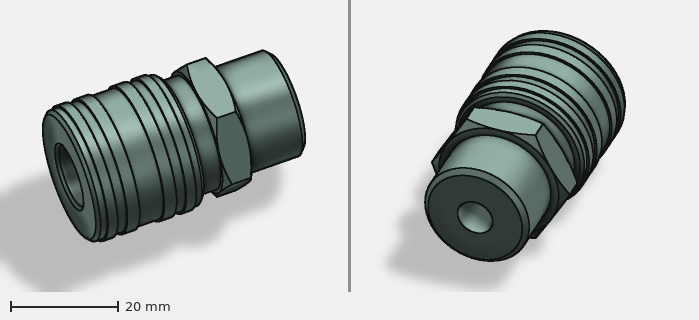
import cadquery as cq
import math

total_length = 44.0

sleeve_radius = 13.0
sleeve_end = 22.0
sleeve_front_chamfer = 0.7
sleeve_rear_chamfer = 0.6
ring_diameter = 26.8
ring_spans = [(2.02, 4.0), (6.0, 8.5), (13.5, 16.0), (18.0, 20.0)]

neck_radius = 11.25
hex_start = 26.0
hex_end = 32.0
hex_across_flats = 24.02
hex_chamfer_angle = 30.0
blank_allowance = 0.45
plug_radius = 10.45
plug_chamfer = 1.0

bore_radius = 3.5
socket_radius = 6.05
socket_depth = 22.0
socket_chamfer = 0.6

hex_corner_radius = hex_across_flats / 2 / math.cos(math.pi / 6)


def cylinder(radius, start, end):
    """Solid cylinder on the Y axis between two Y positions."""
    plane = cq.Plane(origin=(0, start, 0), xDir=(1, 0, 0), normal=(0, 1, 0))
    return cq.Workplane(plane).circle(radius).extrude(end - start)


def make_sleeve():
    sleeve = cylinder(sleeve_radius, 0, sleeve_end)
    sleeve = sleeve.faces("<Y").chamfer(sleeve_front_chamfer)
    sleeve = sleeve.faces(">Y").chamfer(sleeve_rear_chamfer)
    for start, end in ring_spans:
        sleeve = sleeve.union(cylinder(ring_diameter / 2, start, end))
    return sleeve


def make_hexagon():
    """Hexagon with corners on the X axis, both ends turned to a cone."""
    plane = cq.Plane(origin=(0, hex_start, 0), xDir=(1, 0, 0), normal=(0, 1, 0))
    prism = cq.Workplane(plane).polygon(6, 2 * hex_corner_radius).extrude(hex_end - hex_start)
    face_radius = hex_across_flats / 2
    outer_radius = hex_corner_radius + blank_allowance
    drop = (outer_radius - face_radius) * math.tan(math.radians(hex_chamfer_angle))
    turned_blank = (
        cq.Workplane("XY")
        .moveTo(0, hex_start)
        .lineTo(face_radius, hex_start)
        .lineTo(outer_radius, hex_start + drop)
        .lineTo(outer_radius, hex_end - drop)
        .lineTo(face_radius, hex_end)
        .lineTo(0, hex_end)
        .close()
        .revolve(360, (0, 0, 0), (0, 1, 0))
    )
    return prism.intersect(turned_blank)


def make_bore():
    """Through bore, with a wider chamfered socket at the front."""
    mouth_radius = socket_radius + socket_chamfer
    return (
        cq.Workplane("XY")
        .lineTo(mouth_radius, 0)
        .lineTo(socket_radius, socket_chamfer)
        .lineTo(socket_radius, socket_depth)
        .lineTo(bore_radius, socket_depth)
        .lineTo(bore_radius, total_length)
        .lineTo(0, total_length)
        .close()
        .revolve(360, (0, 0, 0), (0, 1, 0))
    )


neck = cylinder(neck_radius, sleeve_end, hex_start)
plug = cylinder(plug_radius, hex_end, total_length).faces(">Y").chamfer(plug_chamfer)

result = make_sleeve().union(neck).union(make_hexagon()).union(plug).cut(make_bore())